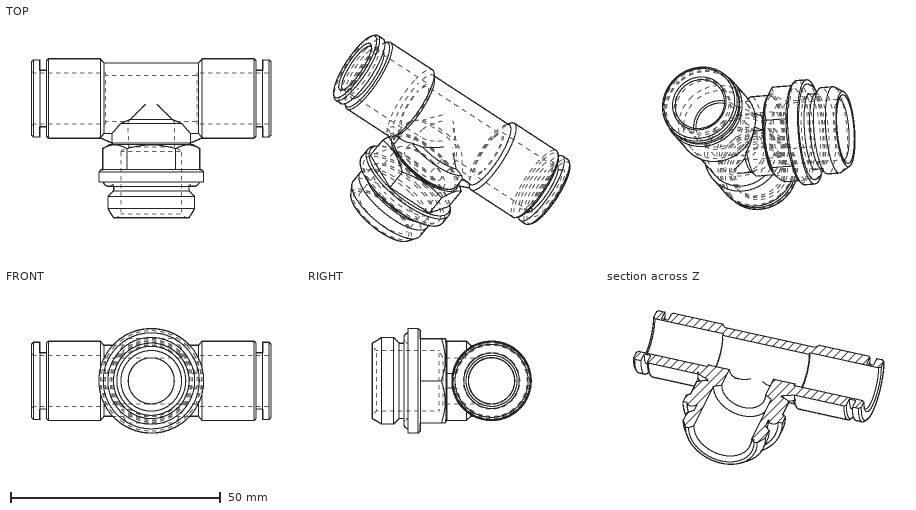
import cadquery as cq
import math


run_half_length = 28.6
flange_diameter = 18.5
flange_width = 2.05
flange_chamfer = 0.5
neck_diameter = 13.5
socket_end = 25.0
socket_diameter = 19.0
socket_start = 12.1
socket_chamfer = 0.45
waist_diameter = 17.0
shoulder_width = 0.85

passage_diameter = 11.0
tube_diameter = 12.2
tube_stop = 10.85
tube_mouth_chamfer = 0.5

stem_cone_start = 5.0
stem_cone_end = 6.0
stem_diameter = socket_diameter
stem_end = 10.9
stem_chamfer = 0.35
hex_flats = 20.15
hex_chamfer_diameter = 19.7
hex_chamfer_angle = 30.0
collar_start = 17.0
collar_chamfer = 0.5
collar_diameter = 25.0
collar_end = 19.95
seal_diameter = 23.0
seal_projection = 1.0
thread_relief_diameter = 18.0
thread_relief_end = 22.0
thread_diameter = 20.7
thread_start = 23.35
thread_end = 26.25
branch_length = 28.5

branch_bore_diameter = 14.5
branch_bore_bottom = 12.6
branch_bore_tip_angle = 118.0
branch_mouth_diameter = 16.5

web_thickness = 3.45
web_half_length = 13.15
web_end_reach = 9.0


def cylinder_along_run(diameter, x_start, x_end):
    return (
        cq.Workplane("YZ")
        .workplane(offset=x_start)
        .circle(diameter / 2)
        .extrude(x_end - x_start)
    )


def revolve_about_run(points):
    return cq.Workplane("XY").polyline(points).close().revolve(360, (0, 0, 0), (1, 0, 0))


def revolve_about_branch(points):
    return cq.Workplane("XY").polyline(points).close().revolve(360, (0, 0, 0), (0, 1, 0))


def run_half():
    """Outside of the run on the +X side."""
    flange_start = run_half_length - flange_width
    flange_radius = flange_diameter / 2
    neck_radius = neck_diameter / 2
    socket_radius = socket_diameter / 2
    waist_radius = waist_diameter / 2
    return revolve_about_run(
        [
            (0, 0),
            (0, waist_radius),
            (socket_start - shoulder_width, waist_radius),
            (socket_start, socket_radius),
            (socket_end - socket_chamfer, socket_radius),
            (socket_end, socket_radius - socket_chamfer),
            (socket_end, neck_radius),
            (flange_start, neck_radius),
            (flange_start, flange_radius),
            (run_half_length - flange_chamfer, flange_radius),
            (run_half_length, flange_radius - flange_chamfer),
            (run_half_length, 0),
        ]
    )


def tube_port():
    """Bore of the port on the +X side, from the tube stop to the mouth."""
    tube_radius = tube_diameter / 2
    return revolve_about_run(
        [
            (tube_stop, 0),
            (tube_stop, tube_radius),
            (run_half_length - tube_mouth_chamfer, tube_radius),
            (run_half_length, tube_radius + tube_mouth_chamfer),
            (run_half_length, 0),
        ]
    )


def stem():
    """Round stem joining the run to the hexagon."""
    waist_radius = waist_diameter / 2
    stem_radius = stem_diameter / 2
    return revolve_about_branch(
        [
            (0, 0),
            (waist_radius, 0),
            (waist_radius, -stem_cone_start),
            (stem_radius, -stem_cone_end),
            (stem_radius, stem_chamfer - stem_end),
            (stem_radius - stem_chamfer, -stem_end),
            (0, -stem_end),
        ]
    )


def hexagon():
    """Wrench hexagon with corners on the X sides, chamfered next to the stem."""
    corner_radius = hex_flats / 2 / math.cos(math.radians(30))
    chamfer_radius = hex_chamfer_diameter / 2
    chamfer_depth = (corner_radius - chamfer_radius) * math.tan(math.radians(hex_chamfer_angle))
    prism = (
        cq.Workplane("XZ")
        .workplane(offset=stem_end)
        .polygon(6, 2 * corner_radius)
        .extrude(collar_start - stem_end)
    )
    chamfered_round = revolve_about_branch(
        [
            (0, -stem_end),
            (chamfer_radius, -stem_end),
            (corner_radius, -stem_end - chamfer_depth),
            (corner_radius, -collar_start),
            (0, -collar_start),
        ]
    )
    return prism.intersect(chamfered_round)


def collar_and_thread():
    """Collar, thread relief and plain threaded end."""
    collar_radius = collar_diameter / 2
    relief_radius = thread_relief_diameter / 2
    thread_radius = thread_diameter / 2
    return revolve_about_branch(
        [
            (0, -collar_start),
            (collar_radius - collar_chamfer, -collar_start),
            (collar_radius, -collar_start - collar_chamfer),
            (collar_radius, -collar_end),
            (relief_radius, -collar_end),
            (relief_radius, -thread_relief_end),
            (thread_radius, -thread_start),
            (thread_radius, -thread_end),
            (relief_radius, -branch_length),
            (0, -branch_length),
        ]
    )


def seal_ring():
    """O-ring around the thread relief, partly sunk into the collar."""
    section_radius = (seal_diameter - thread_relief_diameter) / 4
    center_radius = seal_diameter / 2 - section_radius
    center_y = section_radius - collar_end - seal_projection
    return (
        cq.Workplane("XY")
        .center(center_radius, center_y)
        .circle(section_radius)
        .revolve(360, (-center_radius, 0, 0), (-center_radius, 1, 0))
    )


def branch_bore():
    """Stepped bore of the branch, opening into the run passage."""
    passage_radius = passage_diameter / 2
    bore_radius = branch_bore_diameter / 2
    mouth_radius = branch_mouth_diameter / 2
    mouth_chamfer = mouth_radius - bore_radius
    tip_depth = (bore_radius - passage_radius) / math.tan(math.radians(branch_bore_tip_angle / 2))
    return revolve_about_branch(
        [
            (0, 0),
            (passage_radius, 0),
            (passage_radius, tip_depth - branch_bore_bottom),
            (bore_radius, -branch_bore_bottom),
            (bore_radius, mouth_chamfer - branch_length),
            (mouth_radius, -branch_length),
            (0, -branch_length),
        ]
    )


def web():
    """Flat web bridging the stem and both sockets, tapering towards the sockets."""
    stem_radius = stem_diameter / 2
    stem_side = stem_chamfer - stem_end
    return (
        cq.Workplane("XY")
        .polyline(
            [
                (-web_half_length, 0),
                (-web_half_length, -web_end_reach),
                (-stem_radius, stem_side),
                (stem_radius, stem_side),
                (web_half_length, -web_end_reach),
                (web_half_length, 0),
            ]
        )
        .close()
        .extrude(web_thickness / 2, both=True)
    )


right_half = run_half()
outside = (
    right_half.union(right_half.mirror("YZ"))
    .union(stem())
    .union(web())
    .union(hexagon())
    .union(collar_and_thread())
    .union(seal_ring())
)

passage = cylinder_along_run(passage_diameter, -run_half_length, run_half_length)
right_port = tube_port()

result = (
    outside.cut(passage)
    .cut(right_port)
    .cut(right_port.mirror("YZ"))
    .cut(branch_bore())
)